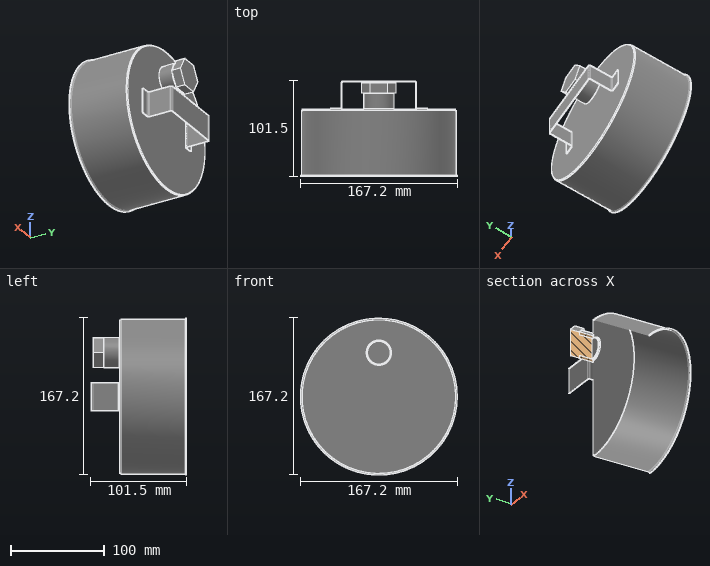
import cadquery as cq
import math

shell_outer_d = 165.2
wall = 1.0
rim_outer_d = 167.2
shell_length = 70.0
rim_bend_inner_r = 1.0
rim_bend_outer_r = rim_bend_inner_r + wall

plate_d = 163.5
plate_thickness = 1.5
plate_hole_d = 27.0

socket_d = 32.5
socket_length = 17.0
socket_center_z = 46.75
socket_edge_chamfer = 0.5
bore_d = 24.12
bore_mouth_chamfer = 0.5

hex_across_flats = 32.0
hex_height = 11.0

handle_width = 80.0
handle_height = 30.0
handle_depth = 30.0
handle_thickness = 1.0
handle_span = 103.0
bend_inner_r = 1.0
bend_outer_r = bend_inner_r + handle_thickness
foot_corner_r = 2.0

plate_back_y = shell_length + plate_thickness
socket_back_y = plate_back_y + socket_length


def cylinder_y(diameter, y_start, length, center_z=0.0):
    """Solid cylinder along +Y starting at y_start."""
    plane = cq.Plane(origin=(0, y_start, center_z), xDir=(1, 0, 0), normal=(0, 1, 0))
    return cq.Workplane(plane).circle(diameter / 2).extrude(length)


def make_shell():
    """Tube whose front edge bends outward through a quarter turn."""
    outer_r = shell_outer_d / 2
    inner_r = outer_r - wall
    rim_r = rim_outer_d / 2
    bend_r = inner_r + rim_bend_outer_r
    bend_y = rim_bend_outer_r
    diagonal = math.sqrt(0.5)
    outer_mid = (bend_r - rim_bend_outer_r * diagonal, bend_y - rim_bend_outer_r * diagonal)
    inner_mid = (bend_r - rim_bend_inner_r * diagonal, bend_y - rim_bend_inner_r * diagonal)
    return (
        cq.Workplane("XY")
        .moveTo(inner_r, shell_length)
        .lineTo(inner_r, bend_y)
        .threePointArc(outer_mid, (rim_r, 0))
        .lineTo(rim_r, wall)
        .threePointArc(inner_mid, (outer_r, bend_y))
        .lineTo(outer_r, shell_length)
        .close()
        .revolve(360, (0, 0, 0), (0, 1, 0))
    )


def make_back_plate():
    """Disc with a round hole under the socket."""
    hole = cylinder_y(plate_hole_d, shell_length, plate_thickness, socket_center_z)
    return cylinder_y(plate_d, shell_length, plate_thickness).cut(hole)


def make_socket():
    """Sleeve with chamfered ends and a chamfered bore mouth facing the plate hole."""
    body = cylinder_y(socket_d, plate_back_y, socket_length, socket_center_z)
    body = body.edges("%CIRCLE").chamfer(socket_edge_chamfer)
    bore = cylinder_y(bore_d, plate_back_y, socket_length, socket_center_z)
    sleeve = body.cut(bore)
    mouth_edge = sleeve.faces("<Y").edges(cq.selectors.RadiusNthSelector(0))
    return mouth_edge.chamfer(bore_mouth_chamfer)


def make_plug():
    """Hexagon head with a stem that fills the straight part of the bore."""
    stem_start_y = plate_back_y + bore_mouth_chamfer
    stem = cylinder_y(bore_d, stem_start_y, socket_back_y - stem_start_y, socket_center_z)
    hex_across_corners = hex_across_flats / math.cos(math.pi / 6)
    head_plane = cq.Plane(origin=(0, socket_back_y, socket_center_z), xDir=(1, 0, 0), normal=(0, 1, 0))
    head = cq.Workplane(head_plane).polygon(6, hex_across_corners).extrude(hex_height)
    return stem.union(head)


def make_handle():
    """Hat-shaped strip with rounded bends and rounded foot corners."""
    tip_x = handle_span / 2
    wall_x = handle_width / 2
    inner_x = wall_x - handle_thickness
    foot_y = plate_back_y + handle_thickness
    top_y = plate_back_y + handle_height
    under_y = top_y - handle_thickness
    outline = [
        (-tip_x, plate_back_y),
        (-inner_x, plate_back_y),
        (-inner_x, under_y),
        (inner_x, under_y),
        (inner_x, plate_back_y),
        (tip_x, plate_back_y),
        (tip_x, foot_y),
        (wall_x, foot_y),
        (wall_x, top_y),
        (-wall_x, top_y),
        (-wall_x, foot_y),
        (-tip_x, foot_y),
    ]
    strip = cq.Workplane("XY").polyline(outline).close().extrude(handle_depth / 2, both=True)

    for x, y, radius in [
        (wall_x, top_y, bend_outer_r),
        (inner_x, under_y, bend_inner_r),
        (wall_x, foot_y, bend_inner_r),
        (inner_x, plate_back_y, bend_outer_r),
    ]:
        for side in (-1, 1):
            bend_edge = strip.edges("|Z").edges(cq.selectors.NearestToPointSelector((side * x, y, 0)))
            strip = bend_edge.fillet(radius)
    return strip.faces("<X or >X").edges("|Y").fillet(foot_corner_r)


shell = make_shell()
back_plate = make_back_plate()
socket = make_socket()
plug = make_plug()
handle = make_handle()

result = cq.Compound.makeCompound([shell.val(), back_plate.val(), socket.val(), plug.val(), handle.val()])